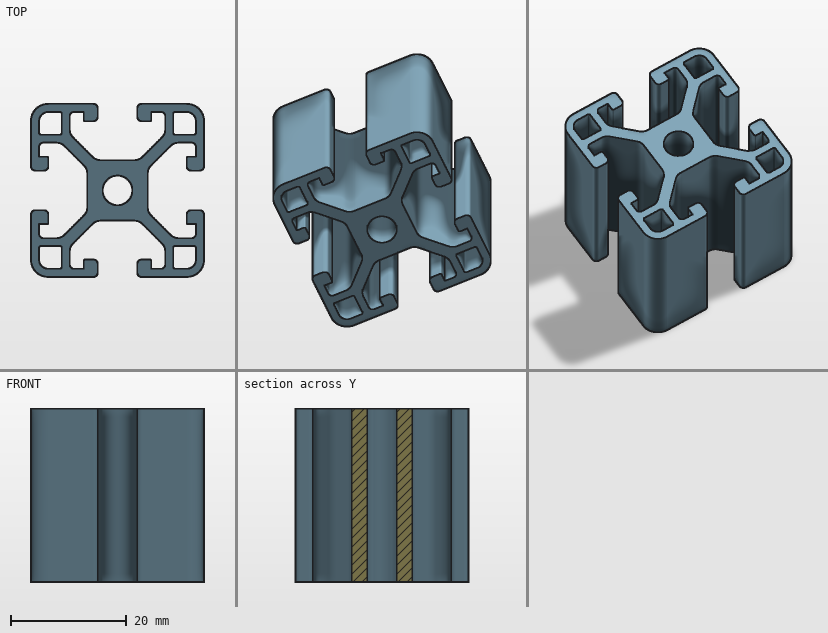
import cadquery as cq

SIDE = 30.0
LENGTH = 30.0
CORNER_RADIUS = 3.0
WALL = 1.45
BORE_DIAMETER = 5.1

MOUTH_WIDTH = 6.8
LIP_WIDTH = 2.45
LIP_DEPTH = 3.05
CAVITY_WIDTH = 16.5
CORE_WIDTH = 10.5
RIB_OFFSET = 1.5
LIP_RADIUS = 0.8
LIP_EDGE_RADIUS = 0.25
CAVITY_CORNER_RADIUS = 0.7
RIB_RADIUS = 2.0

CELL_SIZE = 3.9
CELL_OUTER_RADIUS = CORNER_RADIUS - WALL
CELL_INNER_RADIUS = 0.3

HALF_SIDE = SIDE / 2
HALF_MOUTH = MOUTH_WIDTH / 2
HALF_CAVITY = CAVITY_WIDTH / 2
HALF_CORE = CORE_WIDTH / 2
LIP_BACK = HALF_MOUTH + LIP_WIDTH
LIP_TIP = HALF_SIDE - LIP_DEPTH
CAVITY_ROOF = HALF_SIDE - WALL
RIB_TOP = HALF_CAVITY + RIB_OFFSET
RIB_FOOT = HALF_CORE - RIB_OFFSET

SLOT_COUNT = 4
SLOT_STEP = 360 / SLOT_COUNT
SELECTION_MARGIN = 0.1


def round_edges(body, points, radius):
    """Fillet the lengthwise edges that pass through the given XY points."""
    m = SELECTION_MARGIN
    edges = []
    for x, y in points:
        near_point = cq.selectors.BoxSelector((x - m, y - m, 0), (x + m, y + m, LENGTH))
        edges.extend(body.edges("|Z").edges(near_point).vals())
    return body.newObject(edges).fillet(radius)


def both_sides(x, y):
    """A point and its mirror image across the slot's centre plane."""
    return [(x, y), (-x, y)]


def slot_cutter():
    """T-slot void open toward +Y."""
    right_side = [
        (HALF_MOUTH, HALF_SIDE),
        (HALF_MOUTH, LIP_TIP),
        (LIP_BACK, LIP_TIP),
        (LIP_BACK, CAVITY_ROOF),
        (HALF_CAVITY, CAVITY_ROOF),
        (HALF_CAVITY, RIB_TOP),
        (RIB_FOOT, HALF_CORE),
    ]
    left_side = [(-x, y) for x, y in reversed(right_side)]
    cutter = cq.Workplane("XY").polyline(right_side + left_side).close().extrude(LENGTH)
    cutter = round_edges(cutter, both_sides(HALF_MOUTH, LIP_TIP), LIP_RADIUS)
    cutter = round_edges(cutter, both_sides(LIP_BACK, LIP_TIP), LIP_EDGE_RADIUS)
    cutter = round_edges(cutter, both_sides(HALF_CAVITY, CAVITY_ROOF), CAVITY_CORNER_RADIUS)
    cutter = round_edges(cutter, both_sides(HALF_CAVITY, RIB_TOP), RIB_RADIUS)
    return round_edges(cutter, both_sides(RIB_FOOT, HALF_CORE), RIB_RADIUS)


def cell_cutter():
    """Corner cell void in the +X +Y corner."""
    outer = HALF_SIDE - WALL
    inner = outer - CELL_SIZE
    cell = cq.Workplane("XY").moveTo(inner, inner)
    cell = cell.rect(CELL_SIZE, CELL_SIZE, centered=False).extrude(LENGTH)
    cell = round_edges(cell, [(outer, outer)], CELL_OUTER_RADIUS)
    return round_edges(cell, [(inner, inner), (inner, outer), (outer, inner)], CELL_INNER_RADIUS)


def around_axis(body, index):
    """Turn a body about the Z axis to the indexed side or corner."""
    return body.rotate((0, 0, 0), (0, 0, 1), index * SLOT_STEP)


profile = cq.Workplane("XY").rect(SIDE, SIDE).extrude(LENGTH).edges("|Z").fillet(CORNER_RADIUS)
profile = profile.cut(cq.Workplane("XY").circle(BORE_DIAMETER / 2).extrude(LENGTH))

slot = slot_cutter()
cell = cell_cutter()
for index in range(SLOT_COUNT):
    profile = profile.cut(around_axis(slot, index))
    profile = profile.cut(around_axis(cell, index))

mouth_edges = both_sides(HALF_MOUTH, HALF_SIDE) + both_sides(HALF_MOUTH, -HALF_SIDE)
mouth_edges += [(y, x) for x, y in mouth_edges]
result = round_edges(profile, mouth_edges, LIP_RADIUS)